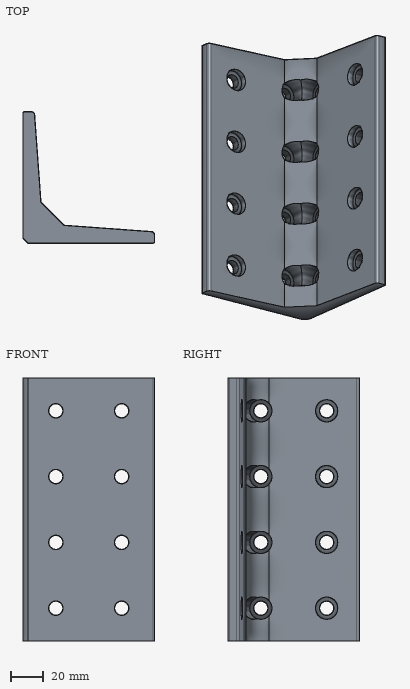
import cadquery as cq

leg_length = 80.0
height = 160.0

tip_thickness = 7.0
gusset_thickness = 11.0
gusset_reach = 25.0
heel_chamfer = 3.0
outer_tip_radius = 1.0
inner_tip_radius = 2.0

hole_diameter = 8.5
seat_diameter = 13.5
seat_height = 5.0
hole_offsets = (leg_length / 4, leg_length * 3 / 4)
hole_rows = 4
row_pitch = height / hole_rows


def make_angle():
    """L-shaped bar with tapered legs, a 45 degree inner gusset and a chamfered heel."""
    return (
        cq.Workplane("XY")
        .moveTo(heel_chamfer, 0)
        .lineTo(leg_length, 0)
        .lineTo(leg_length, tip_thickness)
        .lineTo(gusset_reach, gusset_thickness)
        .lineTo(gusset_thickness, gusset_reach)
        .lineTo(tip_thickness, leg_length)
        .lineTo(0, leg_length)
        .lineTo(0, heel_chamfer)
        .close()
        .extrude(height)
    )


def round_tips(bar):
    """Round the outer and inner long edges at the free end of each leg."""
    for depth, radius in ((0, outer_tip_radius), (tip_thickness, inner_tip_radius)):
        for x, y in ((leg_length, depth), (depth, leg_length)):
            tip_edge = cq.selectors.NearestToPointSelector((x, y, height / 2))
            bar = bar.edges("|Z").edges(tip_edge).fillet(radius)
    return bar


def make_x_leg_cutter(diameter, start):
    """Cylinders along +Y at every hole of the X leg, beginning at Y = start."""
    centers = [
        (offset, (row + 0.5) * row_pitch)
        for offset in hole_offsets
        for row in range(hole_rows)
    ]
    return (
        cq.Workplane("XZ")
        .workplane(offset=-start)
        .pushPoints(centers)
        .circle(diameter / 2)
        .extrude(-leg_length)
    )


def cut_bolt_holes(bar):
    """Cut the through holes and their inner counterbores in both legs."""
    for diameter, start in ((hole_diameter, 0), (seat_diameter, seat_height)):
        x_leg_cutter = make_x_leg_cutter(diameter, start)
        y_leg_cutter = x_leg_cutter.rotate((0, 0, 0), (0, 0, 1), 90).mirror("YZ")
        bar = bar.cut(x_leg_cutter).cut(y_leg_cutter)
    return bar


result = cut_bolt_holes(round_tips(make_angle()))